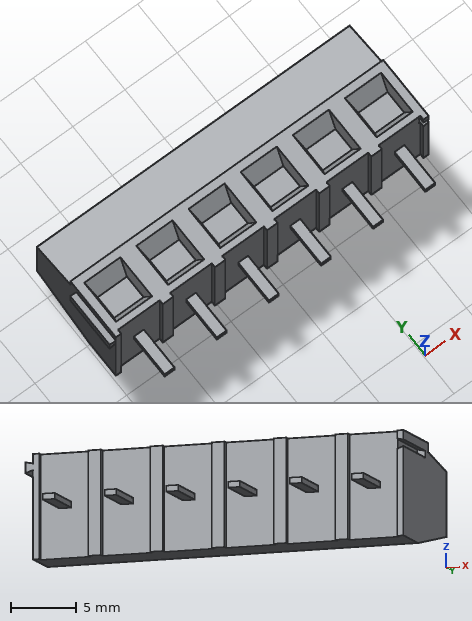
import cadquery as cq

cell_count = 6
overall_length = 30.6
overall_depth = 13.5
rail_depth = 0.6
body_length = overall_length - rail_depth
pitch = body_length / cell_count
body_depth = 10.0
body_height = 8.2
cell_centers = [(index + 0.5) * pitch for index in range(cell_count)]

deck_depth = 5.75
deck_step = 0.7
front_top_drop = 1.5
front_bottom_rise = 1.65
base_depth = 3.4

rib_width = 1.0
rib_depth = 0.4

funnel_width = 3.45
funnel_near_edge = 1.0
funnel_far_edge = 5.02
funnel_depth = 1.0
floor_width = 2.8
floor_near_edge = 1.65
floor_far_edge = 3.75

pin_width = 0.95
pin_thickness = 0.45
pin_length = overall_depth - body_depth
pin_center_height = 4.13

dovetail_length = pitch
dovetail_drop = 0.6
dovetail_height = 0.85
dovetail_top = body_height - dovetail_drop
dovetail_bottom = dovetail_top - dovetail_height
dovetail_top_taper = 0.12
dovetail_bottom_taper = 0.2


def make_body():
    """Extrude the side profile along the row of cells."""
    profile = [
        (0, 0),
        (base_depth, 0),
        (body_depth, front_bottom_rise),
        (body_depth, body_height - front_top_drop),
        (deck_depth, body_height - deck_step),
        (deck_depth, body_height),
        (0, body_height),
    ]
    return cq.Workplane("YZ").polyline(profile).close().extrude(body_length)


def make_recess(center_x):
    """Full-height recess between two neighbouring ribs."""
    width = pitch - rib_width
    block = cq.Workplane("XY").box(width, rib_depth, body_height, centered=(True, False, False))
    return block.translate((center_x, 0, 0))


def rectangle_wire(center_x, width, near_edge, far_edge, height):
    """Horizontal rectangle centred on a cell."""
    left = center_x - width / 2
    return cq.Wire.makePolygon(
        [
            cq.Vector(left, near_edge, height),
            cq.Vector(left + width, near_edge, height),
            cq.Vector(left + width, far_edge, height),
            cq.Vector(left, far_edge, height),
        ],
        close=True,
    )


def make_funnel(center_x):
    """Pocket that tapers from its deck opening to a smaller floor."""
    opening = rectangle_wire(center_x, funnel_width, funnel_near_edge, funnel_far_edge, body_height)
    floor_height = body_height - funnel_depth
    floor = rectangle_wire(center_x, floor_width, floor_near_edge, floor_far_edge, floor_height)
    return cq.Workplane(cq.Solid.makeLoft([opening, floor], True))


def make_pin(center_x):
    """Flat pin from the recess floor out past the pin side."""
    length = pin_length + rib_depth
    blade = cq.Workplane("XY").box(pin_width, length, pin_thickness, centered=(True, False, True))
    return blade.translate((center_x, -pin_length, pin_center_height))


def make_dovetail(neck_x):
    """Dovetail bar that widens towards -X, starting from its neck."""
    wide_x = neck_x - rail_depth
    section = [
        (wide_x, dovetail_bottom),
        (neck_x, dovetail_bottom + dovetail_bottom_taper),
        (neck_x, dovetail_top - dovetail_top_taper),
        (wide_x, dovetail_top),
    ]
    return cq.Workplane("XZ").polyline(section).close().extrude(-dovetail_length)


result = make_body()
for cell_x in cell_centers:
    result = result.cut(make_recess(cell_x)).cut(make_funnel(cell_x)).union(make_pin(cell_x))
result = result.union(make_dovetail(0)).cut(make_dovetail(body_length))